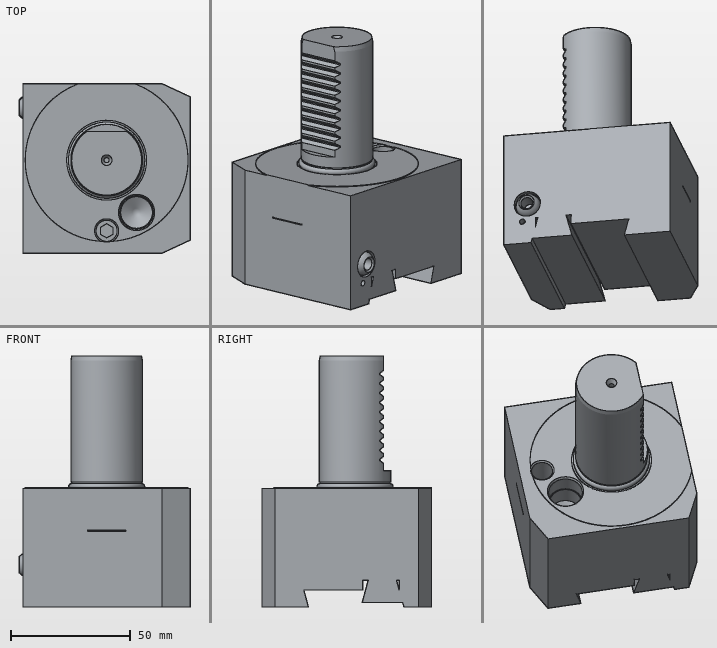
import cadquery as cq
import math

total_height = 105.0
block_x = 70.0
block_back = 32.0
block_front = 39.0
block_y = block_back + block_front
block_top = 49.7
corner_x = 12.0
corner_y = 5.6

seat_z = 50.0
disc_r = 34.0

shank_r = 15.0
shank_bevel_r = 0.4
shank_bevel_z = 2.1
flat_y = 12.0
flat_bottom_z = 57.0
groove_count = 10
groove_pitch = 4.0
first_groove_z = 61.5
groove_depth = 1.6
groove_mouth = 3.0
groove_root = 0.5

ring_center_r = 14.6
ring_wire_r = 1.4
ring_center_z = 50.3
ring_recess_r = 16.7
ring_recess_depth = 0.6
undercut_r = 14.7
undercut_top_z = 52.3

centre_mouth_r = 2.2
centre_bore_r = 1.0
centre_cone_half_angle = 30.0
centre_bore_depth = 5.3

port_x, port_y = 12.5, -21.8
port_mouth_r = 7.6
port_r = 7.0
port_chamfer_depth = 0.9
port_step_depth = 7.9
port_lower_r = 6.6
port_wall_depth = 15.8
port_tip_half_angle = 59.0

screw_y = -29.5
screw_hole_r = 4.4
screw_chamfer = 0.6
screw_head_depth = 12.6
socket_flats = 5.1
socket_depth = 3.2
hexagon_half_side = 30.0

key_width = 16.0
key_top_z = 31.7
key_clearance = 0.4

dovetail_angle = 15.0
slot_roof_z = 7.1
gib_roof_z = 11.2
slot_back_y = 20.4
slot_front_y = -19.4
gib_pocket_front_y = 3.3

gib_bottom_z = 1.9
gib_bottom_front_y = 2.9

nozzle_y, nozzle_z = 21.9, 17.7
nozzle_hole_r = 5.6
nozzle_ball_r = 5.3
nozzle_protrusion = 1.6
nozzle_ball_depth = 2.5
nozzle_mouth_r = 3.3
nozzle_bore_r = 2.5
nozzle_bore_depth = 6.3

pin_y, pin_z = 24.0, 9.9
pin_hole_r = 1.2
pin_hole_depth = 4.2

overlap = 1.0


def cylinder(radius, bottom, top, x=0, y=0):
    """Upright cylinder between two heights."""
    return cq.Workplane("XY", origin=(x, y, bottom)).circle(radius).extrude(top - bottom)


def spin(points, x=0, y=0):
    """Solid of revolution about an upright axis from (radius, z) points."""
    profile = cq.Workplane("XZ", origin=(x, y, 0)).polyline(points).close()
    return profile.revolve(360, (0, 0, 0), (0, 1, 0))


def bar_along_x(points):
    """Prism over the whole block length from (y, z) points."""
    return cq.Workplane("YZ", origin=(-block_x / 2, 0, 0)).polyline(points).close().extrude(block_x)


def cylinder_from_side(radius, depth, y, z, start=0.0):
    """Cylinder running in +X from a distance in front of the -X face to a depth behind it."""
    plane = cq.Workplane("YZ", origin=(-block_x / 2 - start, y, z))
    return plane.circle(radius).extrude(start + depth)


def make_block():
    half_x = block_x / 2
    outline = [
        (-half_x, -block_front),
        (half_x - corner_x, -block_front),
        (half_x, -block_front + corner_y),
        (half_x, block_back - corner_y),
        (half_x - corner_x, block_back),
        (-half_x, block_back),
    ]
    block = cq.Workplane("XY").polyline(outline).close().extrude(block_top)
    trim = cq.Workplane("XY").polyline(outline).close().extrude(total_height)
    disc = cylinder(disc_r, block_top - overlap, seat_z).intersect(trim)
    return block.union(disc)


def make_shank():
    shank = spin([
        (0, block_top - overlap),
        (undercut_r, block_top - overlap),
        (undercut_r, undercut_top_z),
        (shank_r, undercut_top_z),
        (shank_r, total_height - shank_bevel_z),
        (shank_r - shank_bevel_r, total_height),
        (0, total_height),
    ])
    flat = cq.Workplane("XY").box(2 * shank_r, shank_r, total_height, centered=(True, False, False))
    shank = shank.cut(flat.translate((0, flat_y, flat_bottom_z)))
    for index in range(groove_count):
        z = first_groove_z + index * groove_pitch
        shank = shank.cut(bar_along_x([
            (flat_y, z - groove_mouth / 2),
            (flat_y - groove_depth, z - groove_root / 2),
            (flat_y - groove_depth, z + groove_root / 2),
            (flat_y, z + groove_mouth / 2),
        ]))
    cone_depth = (centre_mouth_r - centre_bore_r) / math.tan(math.radians(centre_cone_half_angle))
    return shank.cut(spin([
        (0, total_height),
        (centre_mouth_r, total_height),
        (centre_bore_r, total_height - cone_depth),
        (centre_bore_r, total_height - centre_bore_depth),
        (0, total_height - centre_bore_depth),
    ]))


def make_sealing_ring():
    wire = cq.Workplane("XZ").center(ring_center_r, ring_center_z).circle(ring_wire_r)
    return wire.revolve(360, (-ring_center_r, 0, 0), (-ring_center_r, 1, 0))


def make_port():
    wall_bottom = seat_z - port_wall_depth
    tip = wall_bottom - port_lower_r / math.tan(math.radians(port_tip_half_angle))
    return spin([
        (0, seat_z),
        (port_mouth_r, seat_z),
        (port_r, seat_z - port_chamfer_depth),
        (port_r, seat_z - port_step_depth),
        (port_lower_r, seat_z - port_step_depth),
        (port_lower_r, wall_bottom),
        (0, tip),
    ], port_x, port_y)


def make_screw_hole():
    floor = seat_z - screw_head_depth
    hole = spin([
        (0, seat_z),
        (screw_hole_r + screw_chamfer, seat_z),
        (screw_hole_r, seat_z - screw_chamfer),
        (screw_hole_r, floor),
        (0, floor),
    ], 0, screw_y)
    corner_diameter = socket_flats / math.cos(math.radians(hexagon_half_side))
    socket = cq.Workplane("XY").polygon(6, corner_diameter).extrude(socket_depth)
    socket = socket.rotate((0, 0, 0), (0, 0, 1), hexagon_half_side)
    return hole.union(socket.translate((0, screw_y, floor - socket_depth)))


def make_key_clearance():
    gap = cq.Workplane("XY").box(key_width, block_y, key_clearance, centered=(True, False, False))
    return gap.translate((0, -block_front, key_top_z))


def dovetail_shift(height):
    return height * math.tan(math.radians(dovetail_angle))


def make_slot():
    narrow_back_y = slot_back_y - dovetail_shift(slot_roof_z)
    return bar_along_x([
        (slot_back_y, 0),
        (narrow_back_y, slot_roof_z),
        (narrow_back_y, gib_roof_z),
        (gib_pocket_front_y, gib_roof_z),
        (gib_pocket_front_y, slot_roof_z),
        (slot_front_y - dovetail_shift(slot_roof_z), slot_roof_z),
        (slot_front_y, 0),
    ])


def make_gib():
    return bar_along_x([
        (slot_back_y - dovetail_shift(gib_bottom_z), gib_bottom_z),
        (slot_back_y - dovetail_shift(gib_roof_z), gib_roof_z),
        (gib_bottom_front_y + dovetail_shift(gib_roof_z - gib_bottom_z), gib_roof_z),
        (gib_bottom_front_y, gib_bottom_z),
    ])


def add_nozzle(body):
    body = body.cut(cylinder_from_side(nozzle_hole_r, nozzle_ball_depth, nozzle_y, nozzle_z))
    ball_x = -block_x / 2 + nozzle_ball_depth
    ball = cq.Workplane("XY").sphere(nozzle_ball_r).translate((ball_x, nozzle_y, nozzle_z))
    reach = cylinder_from_side(nozzle_hole_r, block_x, nozzle_y, nozzle_z, nozzle_protrusion)
    body = body.union(ball.intersect(reach))
    bore = cylinder_from_side(nozzle_bore_r, nozzle_bore_depth, nozzle_y, nozzle_z, nozzle_protrusion)
    bevel = cq.Workplane("YZ", origin=(-block_x / 2 - nozzle_protrusion, nozzle_y, nozzle_z))
    bevel = bevel.circle(nozzle_mouth_r).extrude(nozzle_mouth_r - nozzle_bore_r, taper=45)
    return body.cut(bore).cut(bevel)


body = make_block()
body = body.cut(cylinder(ring_recess_r, seat_z - ring_recess_depth, seat_z))
body = body.union(make_shank()).union(make_sealing_ring())
body = body.cut(make_port()).cut(make_screw_hole()).cut(make_key_clearance())
body = body.cut(make_slot()).union(make_gib())
body = body.cut(cylinder_from_side(pin_hole_r, pin_hole_depth, pin_y, pin_z))
result = add_nozzle(body)